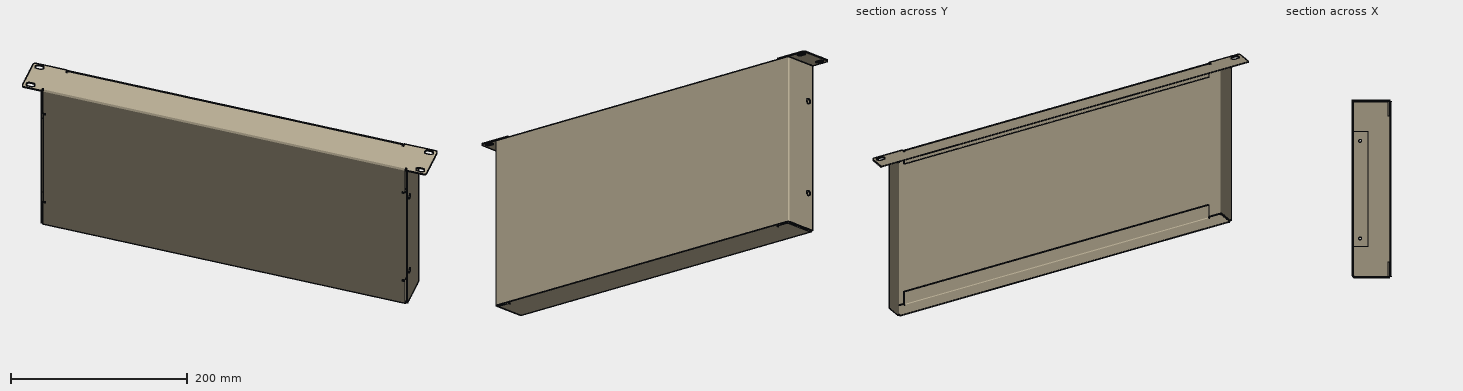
import cadquery as cq

panel_width = 482.6
total_height = 44.3
total_depth = 201.5
top_z = total_depth / 2
bottom_z = -top_z
floor_y = -total_height / 2
cover_y = total_height / 2

sheet = 1.5
bend_radius = 3.0
inner_radius = bend_radius - sheet
side_gap = 1.3
top_gap = 0.5

cover_width = 438.0
cover_top_z = top_z - sheet - top_gap
cover_bottom_z = bottom_z + sheet
cover_side_end_y = floor_y + sheet

tray_width = cover_width - 2 * (sheet + side_gap)
tray_top_y = cover_y - sheet - top_gap
panel_edge_y = cover_y - sheet
flange_reach = 18.0
upper_flange_width = 400.0
side_flange_length = 130.0
relief = 1.5
relief_depth = bend_radius + 0.3

slot_spacing_x = 465.1
slot_spacing_y = 31.75
slot_length = 10.2
slot_height = 6.4
slot_centre_y = -0.3
ear_corner_radius = 3.0

fixing_height = 9.0
fixing_y = floor_y + fixing_height
fixing_spacing = 110.5
fixing_centre_z = -0.9
cover_hole_diameter = 6.2
flange_hole_diameter = 3.0


def box(x_range, y_range, z_range):
    """Block between the given limits on each axis."""
    size = [high - low for low, high in (x_range, y_range, z_range)]
    corner = (x_range[0], y_range[0], z_range[0])
    return cq.Workplane("XY").box(*size, centered=False).translate(corner)


def fixing_holes(diameter):
    """Cylinders along X through both sides at every fixing."""
    return (
        cq.Workplane("YZ")
        .pushPoints([(fixing_y, fixing_centre_z + side * fixing_spacing / 2) for side in (-1, 1)])
        .circle(diameter / 2)
        .extrude(cover_width / 2, both=True)
    )


def rounded_tube(width, y_range, z_range):
    """Folded sheet loop around X: a rounded block with its inside removed."""
    outer = box((-width / 2, width / 2), y_range, z_range).edges("|X").fillet(bend_radius)
    inner = box(
        (-width / 2, width / 2),
        (y_range[0] + sheet, y_range[1] - sheet),
        (z_range[0] + sheet, z_range[1] - sheet),
    )
    return outer.cut(inner.edges("|X").fillet(inner_radius))


def folded_profile():
    """Floor, panel and rear wall in one strip, with the upper flanges along +Y."""
    loop = rounded_tube(tray_width, (floor_y, tray_top_y), (bottom_z, top_z))
    half = tray_width / 2
    above_bends = (tray_top_y - bend_radius, cover_y)
    middle = box((-half, half), above_bends, (bottom_z + flange_reach, top_z - flange_reach))
    strip = loop.cut(middle)
    for side in (-1, 1):
        ends = sorted((side * upper_flange_width / 2, side * half))
        strip = strip.cut(box(ends, above_bends, (bottom_z, top_z)))
    return strip


def panel_surround():
    """Flat part of the panel: the two ears and the edge strips beside the upper flange."""
    half = panel_width / 2
    plate = box((-half, half), (floor_y, panel_edge_y), (top_z - sheet, top_z))
    plate = plate.edges("|Z").edges("<Y or >Y").fillet(ear_corner_radius)
    floor_bend = box(
        (-tray_width / 2, tray_width / 2), (floor_y, floor_y + bend_radius), (bottom_z, top_z)
    )
    flange_half = upper_flange_width / 2
    flange_bend = box(
        (-flange_half, flange_half), (tray_top_y - bend_radius, cover_y), (bottom_z, top_z)
    )
    slots = (
        cq.Workplane("XY", origin=(0, slot_centre_y, top_z - sheet))
        .rarray(slot_spacing_x, slot_spacing_y, 2, 2)
        .slot2D(slot_length, slot_height)
        .extrude(sheet)
    )
    return plate.cut(floor_bend).cut(flange_bend).cut(slots)


def rear_edge_strips():
    """Flat parts of the rear wall beside its flange."""
    strips = []
    for side in (-1, 1):
        across = sorted((side * upper_flange_width / 2, side * tray_width / 2))
        strips.append(
            box(across, (tray_top_y - bend_radius, tray_top_y), (bottom_z, bottom_z + sheet))
        )
    return strips


def flanged_floor():
    """Middle stretch of the floor with a flange folded up from each side edge."""
    half = tray_width / 2
    length = (-side_flange_length / 2, side_flange_length / 2)
    outer = box((-half, half), (floor_y, floor_y + flange_reach), length)
    outer = outer.edges("|Z and <Y").fillet(bend_radius)
    inner = box((-half + sheet, half - sheet), (floor_y + sheet, cover_y), length)
    inner = inner.edges("|Z and <Y").fillet(inner_radius)
    return outer.cut(inner)


def bend_reliefs():
    """Slots at the ends of the side, floor and upper bends."""
    slots = []
    for side in (-1, 1):
        edge = tray_width / 2
        across = sorted((side * (edge - relief_depth), side * edge))
        start = side_flange_length / 2
        for end in (-1, 1):
            along = sorted((end * start, end * (start + relief)))
            slots.append(box(across, (floor_y, floor_y + sheet), along))
        panel_z = (top_z - sheet, top_z)
        beside_floor = sorted((side * edge, side * (edge + relief)))
        slots.append(box(beside_floor, (floor_y, floor_y + relief_depth), panel_z))
        flange_end = upper_flange_width / 2
        beside_flange = sorted((side * flange_end, side * (flange_end + relief)))
        slots.append(box(beside_flange, (tray_top_y - relief_depth, cover_y), panel_z))
    return slots


def make_tray():
    """Tray with its rack ears, as one folded sheet."""
    tray = folded_profile().union(panel_surround())
    for strip in rear_edge_strips():
        tray = tray.union(strip)
    flat_middle = box(
        (-tray_width / 2, tray_width / 2),
        (floor_y, floor_y + sheet),
        (-side_flange_length / 2, side_flange_length / 2),
    )
    tray = tray.cut(flat_middle).union(flanged_floor())
    for slot in bend_reliefs():
        tray = tray.cut(slot)
    return tray.cut(fixing_holes(flange_hole_diameter))


def make_cover():
    """Cover: top plate and two sides, open at both ends."""
    half = cover_width / 2
    length = (cover_bottom_z, cover_top_z)
    outer = box((-half, half), (cover_side_end_y, cover_y), length)
    outer = outer.edges("|Z and >Y").fillet(bend_radius)
    inner = box((-half + sheet, half - sheet), (cover_side_end_y, cover_y - sheet), length)
    inner = inner.edges("|Z and >Y").fillet(inner_radius)
    return outer.cut(inner).cut(fixing_holes(cover_hole_diameter))


tray = make_tray()
cover = make_cover()
result = cq.Compound.makeCompound([tray.solids().val(), cover.solids().val()])